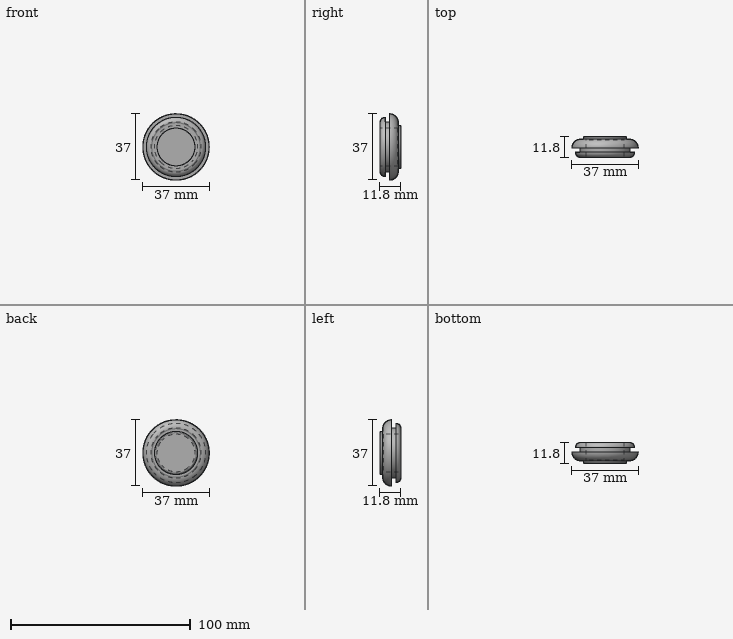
import cadquery as cq

flange_radius = 18.5
lip_radius = 16.5
neck_radius = 14.0
cap_radius = 12.0
bore_radius = 10.5

lip_length = 3.0
neck_length = 2.3
flange_length = 5.0
cap_length = 1.5
cap_fillet = 0.7
bore_depth = 9.8

lip_end = lip_length
neck_end = lip_end + neck_length
flange_end = neck_end + flange_length
cap_end = flange_end + cap_length


def quarter_bend(outline, center, radius, start_signs, end_signs):
    """Add a convex quarter arc, bulging outward between two axis directions."""
    diagonal = radius * 0.5**0.5
    mid_x = start_signs[0] + end_signs[0]
    mid_y = start_signs[1] + end_signs[1]
    middle = (center[0] + mid_x * diagonal, center[1] + mid_y * diagonal)
    end = (center[0] + end_signs[0] * radius, center[1] + end_signs[1] * radius)
    return outline.threePointArc(middle, end)


OUTWARD = (1, 0)
OPEN_END = (0, -1)
CLOSED_END = (0, 1)

outline = cq.Workplane("XY").lineTo(lip_radius - lip_length, 0)
lip_center = (lip_radius - lip_length, lip_end)
outline = quarter_bend(outline, lip_center, lip_length, OPEN_END, OUTWARD)
outline = outline.lineTo(neck_radius, lip_end).lineTo(neck_radius, neck_end)
outline = outline.lineTo(flange_radius, neck_end)
flange_center = (flange_radius - flange_length, neck_end)
outline = quarter_bend(outline, flange_center, flange_length, OUTWARD, CLOSED_END)
outline = outline.lineTo(cap_radius, flange_end).lineTo(cap_radius, cap_end - cap_fillet)
cap_center = (cap_radius - cap_fillet, cap_end - cap_fillet)
outline = quarter_bend(outline, cap_center, cap_fillet, OUTWARD, CLOSED_END)
outline = outline.lineTo(0, cap_end).close()
body = outline.revolve(360, (0, 0, 0), (0, 1, 0))

bore = cq.Workplane("XZ").circle(bore_radius).extrude(-bore_depth)
result = body.cut(bore)